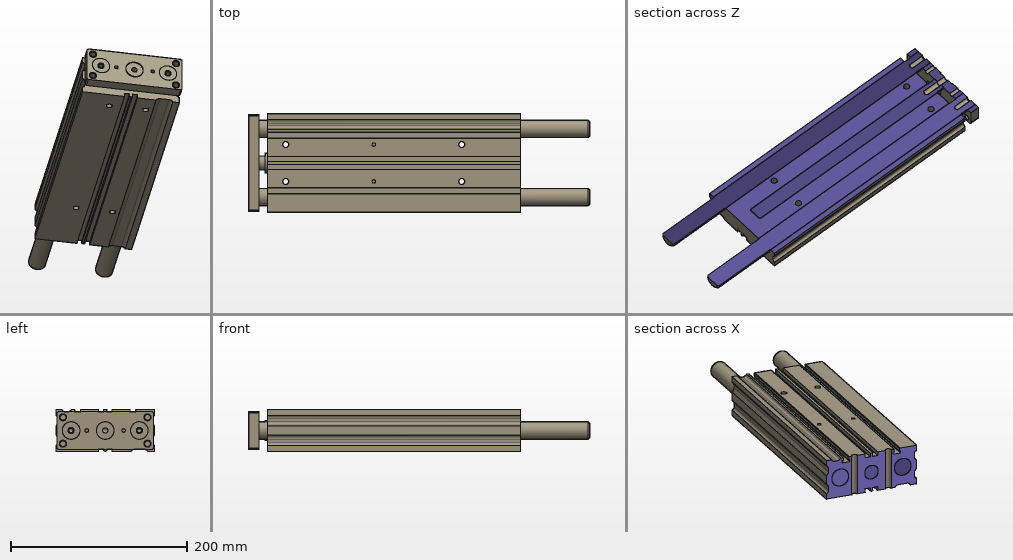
import cadquery as cq
import math


overall_length = 388.0
body_width = 112.0
body_height = 48.0
body_start = 21.3
body_length = 288.0
body_end = body_start + body_length
half_width = body_width / 2
half_height = body_height / 2

plate_thickness = 12.0
plate_width = 110.0
plate_height = 43.0
plate_corner_chamfer = 1.6
corner_hole_spacing_y = 96.0
corner_hole_spacing_z = 30.0
corner_hole_diameter = 6.6
corner_hole_mouth_diameter = 8.0
corner_hole_mouth_depth = 1.0
pin_hole_diameter = 4.0
piston_screw_diameter = 6.0
plate_recess_diameter = 20.0
plate_recess_depth = 1.0

guide_diameter = 20.0
guide_spacing = 77.5
guide_end_chamfer = 2.0
guide_screw_diameter = 5.0
guide_screw_mouth_diameter = 7.0
guide_screw_mouth_depth = 1.0
screw_depth = 20.0
drill_point_angle = 118.0
piston_rod_diameter = 16.0
rear_wall = 20.0
piston_rod_end = body_end - rear_wall
collar_diameter = 22.5
collar_length = 2.3
collar_start = body_start - collar_length

hole_row_spacing = 42.0
mounting_hole_diameter = 6.6
first_hole_offset = 21.0
mounting_hole_pitch = 200.0
first_hole_x = body_start + first_hole_offset
mounting_hole_xs = (first_hole_x, first_hole_x + mounting_hole_pitch)
locating_hole_x = first_hole_x + mounting_hole_pitch / 2
locating_hole_diameter = 4.0
locating_hole_depth = 8.0

groove_depth = 2.6
land_lip = 1.2
inner_arc_width = 3.6
outer_arc_width = 3.5
wide_arc_width = 4.6
side_groove_floor = 3.5
side_land_half_width = 5.2
top_groove_start = 37.9
top_groove_floor = 2.3
bottom_groove_near = 29.0
bottom_groove_far = 48.5
t_slot_offset = 31.5
t_slot_mouth = 6.2
t_slot_mouth_chamfer = 0.6
t_slot_lip = 4.0
t_slot_width = 9.0
t_slot_depth = 6.2
center_groove_width = 15.0
center_groove_depth = 4.5
center_ridge_width = 3.5
ridge_tip_height = 1.2


def bar(outline):
    """Runs a closed Y-Z outline along the whole housing."""
    return outline.close().extrude(body_length)


def yz_sketch():
    return cq.Workplane("YZ", origin=(body_start, 0, 0))


def x_cylinder(diameter, start, end, y=0.0, z=0.0):
    return cq.Workplane("YZ", origin=(start, y, z)).circle(diameter / 2).extrude(end - start)


def drilled_hole(diameter, start, depth, y=0.0):
    """Blind hole along +X that ends in a drill point."""
    radius = diameter / 2
    point_length = radius / math.tan(math.radians(drill_point_angle / 2))
    outline = [(start, 0), (start, radius), (start + depth, radius), (start + depth + point_length, 0)]
    hole = cq.Workplane("XY").polyline(outline).close().revolve(360, (0, 0, 0), (1, 0, 0))
    return hole.translate((0, y, 0))


def floor_arc_middle(tangent, end):
    """Mid point of an arc that leaves the groove floor tangentially and ends on the groove edge.

    Points are (along the face, depth below the face).
    """
    run = end[0] - tangent[0]
    rise = tangent[1] - end[1]
    radius = (run**2 + rise**2) / (2 * rise)
    half_angle = math.atan2(rise, abs(run))
    along = tangent[0] + math.copysign(radius * math.sin(half_angle), run)
    return along, tangent[1] - radius * (1 - math.cos(half_angle))


def arc_groove(to_yz, start, lip, inner_arc, floor, outer_arc):
    """Groove with a flat floor and concave walls; to_yz maps (along, depth) to (y, z)."""
    inner_edge = (start + lip, lip)
    inner_tangent = (inner_edge[0] + inner_arc, groove_depth)
    outer_tangent = (inner_tangent[0] + floor, groove_depth)
    outer_edge = (outer_tangent[0] + outer_arc, 0.0)
    inner_middle = floor_arc_middle(inner_tangent, inner_edge)
    outer_middle = floor_arc_middle(outer_tangent, outer_edge)

    outline = yz_sketch().moveTo(*to_yz(start, 0.0))
    if lip > 0:
        outline = outline.lineTo(*to_yz(*inner_edge))
    outline = outline.threePointArc(to_yz(*inner_middle), to_yz(*inner_tangent))
    outline = outline.lineTo(*to_yz(*outer_tangent))
    outline = outline.threePointArc(to_yz(*outer_middle), to_yz(*outer_edge))
    return bar(outline)


def side_groove(side, level):
    """Sensor groove on the +Y or -Y face (side), above or below the middle land (level)."""
    return arc_groove(
        lambda along, depth: (side * (half_width - depth), level * along),
        side_land_half_width,
        land_lip,
        inner_arc_width,
        side_groove_floor,
        outer_arc_width,
    )


def top_groove():
    return arc_groove(
        lambda along, depth: (along, half_height - depth),
        top_groove_start,
        land_lip,
        inner_arc_width,
        top_groove_floor,
        wide_arc_width,
    )


def bottom_groove():
    floor = bottom_groove_far - bottom_groove_near - 2 * wide_arc_width
    return arc_groove(
        lambda along, depth: (-along, depth - half_height),
        bottom_groove_near,
        0.0,
        wide_arc_width,
        floor,
        wide_arc_width,
    )


def lengthwise_box(y, width, top, depth):
    block = cq.Workplane("XY").box(body_length, width, depth, centered=(False, True, False))
    return block.translate((body_start, y, top - depth))


def yz_prism(points):
    """Straight-sided Y-Z outline run along the whole housing."""
    return bar(yz_sketch().polyline(points))


def t_slot(y):
    """Undercut slot in the top face with a chamfered mouth."""
    half_mouth = t_slot_mouth / 2
    half_entry = half_mouth + t_slot_mouth_chamfer
    chamfer_bottom = half_height - t_slot_mouth_chamfer
    mouth = lengthwise_box(y, t_slot_mouth, half_height, t_slot_lip)
    entry = yz_prism(
        [
            (y - half_entry, half_height),
            (y - half_mouth, chamfer_bottom),
            (y + half_mouth, chamfer_bottom),
            (y + half_entry, half_height),
        ]
    )
    inside = lengthwise_box(y, t_slot_width, half_height - t_slot_lip, t_slot_depth - t_slot_lip)
    return mouth.union(entry).union(inside)


def top_center_groove():
    """Wide groove split by a flat-topped ridge."""
    groove = lengthwise_box(0, center_groove_width, half_height, center_groove_depth)
    ridge = lengthwise_box(0, center_ridge_width, half_height, center_groove_depth)
    return groove.cut(ridge)


def bottom_center_groove():
    """Wide groove split by a ridge with a pointed tip."""
    root = center_groove_depth - half_height
    groove = lengthwise_box(0, center_groove_width, root, center_groove_depth)
    half_ridge = center_ridge_width / 2
    shoulder = ridge_tip_height - half_height
    ridge = yz_prism(
        [
            (-half_ridge, root),
            (-half_ridge, shoulder),
            (0, -half_height),
            (half_ridge, shoulder),
            (half_ridge, root),
        ]
    )
    return groove.cut(ridge)


def guide_positions():
    return [-guide_spacing / 2, guide_spacing / 2]


def make_housing():
    housing = lengthwise_box(0, body_width, half_height, body_height)
    for side in (-1, 1):
        for level in (-1, 1):
            housing = housing.cut(side_groove(side, level))
        housing = housing.cut(t_slot(side * t_slot_offset))
    housing = housing.cut(top_groove()).cut(bottom_groove())
    housing = housing.cut(top_center_groove()).cut(bottom_center_groove())

    for y in guide_positions():
        housing = housing.cut(x_cylinder(guide_diameter, body_start, body_end, y))
    housing = housing.cut(x_cylinder(piston_rod_diameter, body_start, piston_rod_end))

    top_face = cq.Workplane("XY", origin=(0, 0, half_height))
    for y in (-hole_row_spacing / 2, hole_row_spacing / 2):
        mounting_centers = [(x, y) for x in mounting_hole_xs]
        mounting_holes = top_face.pushPoints(mounting_centers).circle(mounting_hole_diameter / 2)
        housing = housing.cut(mounting_holes.extrude(-body_height))
        locating_hole = top_face.center(locating_hole_x, y).circle(locating_hole_diameter / 2)
        housing = housing.cut(locating_hole.extrude(-locating_hole_depth))
    return housing


def make_plate():
    plate = (
        cq.Workplane("XY").box(plate_thickness, plate_width, plate_height, centered=(False, True, True))
        .edges("|X").chamfer(plate_corner_chamfer)
    )
    for y in (-corner_hole_spacing_y / 2, corner_hole_spacing_y / 2):
        for z in (-corner_hole_spacing_z / 2, corner_hole_spacing_z / 2):
            plate = plate.cut(x_cylinder(corner_hole_diameter, 0, plate_thickness, y, z))
            plate = plate.cut(x_cylinder(corner_hole_mouth_diameter, 0, corner_hole_mouth_depth, y, z))
    for y in (-hole_row_spacing / 2, hole_row_spacing / 2):
        plate = plate.cut(x_cylinder(pin_hole_diameter, 0, plate_thickness, y))
    for y in guide_positions():
        plate = plate.cut(x_cylinder(guide_diameter, 0, plate_thickness, y))
    plate = plate.cut(x_cylinder(piston_screw_diameter, 0, plate_thickness))
    return plate.cut(x_cylinder(plate_recess_diameter, 0, plate_recess_depth))


def make_guide_rod(y):
    """Guide rod, flush with the plate face, with a screw hole in its front end."""
    rod = x_cylinder(guide_diameter, 0, overall_length, y).faces(">X").chamfer(guide_end_chamfer)
    rod = rod.cut(drilled_hole(guide_screw_diameter, 0, screw_depth, y))
    return rod.cut(x_cylinder(guide_screw_mouth_diameter, 0, guide_screw_mouth_depth, y))


def make_piston_rod():
    """Piston rod, butted against the back of the plate and tapped for its screw."""
    rod = x_cylinder(piston_rod_diameter, plate_thickness, piston_rod_end)
    return rod.cut(drilled_hole(piston_screw_diameter, plate_thickness, screw_depth))


def make_collar():
    """Bearing ring around the piston rod on the front face of the housing."""
    ring = x_cylinder(collar_diameter, collar_start, body_start)
    return ring.cut(x_cylinder(piston_rod_diameter, collar_start, body_start))


housing = make_housing()
plate = make_plate()
guide_rods = [make_guide_rod(y) for y in guide_positions()]
piston_rod = make_piston_rod()
collar = make_collar()

result = cq.Compound.makeCompound(
    [housing.val(), plate.val(), *[rod.val() for rod in guide_rods], piston_rod.val(), collar.val()]
)